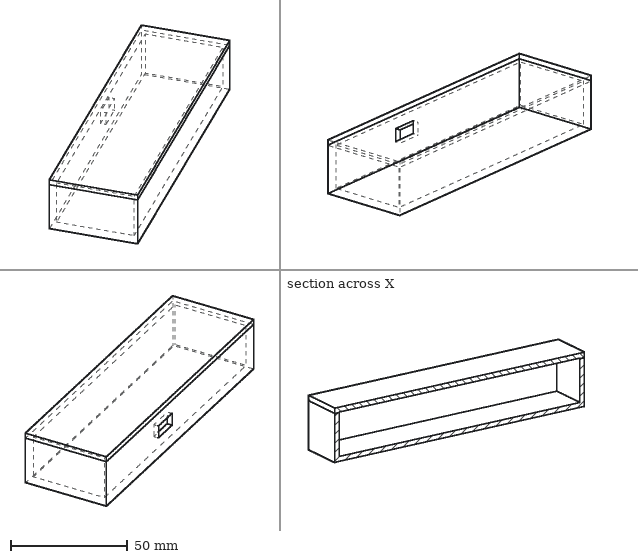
import cadquery as cq

LENGTH = 130.0
WIDTH = 40.0
HEIGHT = 25.0

THICKNESS = 2.5
HOUSING_HEIGHT = HEIGHT - THICKNESS

WINDOW_LENGTH = 12.0
WINDOW_HEIGHT = 6.0
WINDOW_SILL = 10.0
WINDOW_CENTER_Y = 13.0


def block(size_x, size_y, size_z, base_z):
    """Return a block centred on X and Y, standing on the height base_z."""
    return (
        cq.Workplane("XY")
        .box(size_x, size_y, size_z, centered=(True, True, False))
        .translate((0, 0, base_z))
    )


def make_housing():
    """Return the open-topped box with its side window."""
    shell = block(WIDTH, LENGTH, HOUSING_HEIGHT, 0)
    cavity = block(
        WIDTH - 2 * THICKNESS,
        LENGTH - 2 * THICKNESS,
        HOUSING_HEIGHT - THICKNESS,
        THICKNESS,
    )
    window = block(2 * THICKNESS, WINDOW_LENGTH, WINDOW_HEIGHT, WINDOW_SILL)
    window = window.translate((-WIDTH / 2, WINDOW_CENTER_Y, 0))
    return shell.cut(cavity).cut(window)


def make_lid():
    """Return the flat plate that closes the housing."""
    return block(WIDTH, LENGTH, THICKNESS, HOUSING_HEIGHT)


housing = make_housing()
lid = make_lid()

result = cq.Compound.makeCompound([housing.solids().val(), lid.val()])